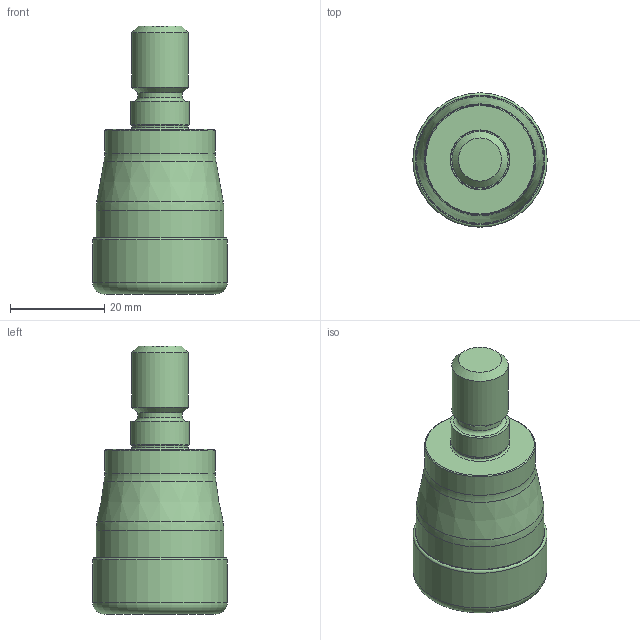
import cadquery as cq
import math


overall_height = 57.0
cutter_height = 12.0
shoulder_z = 35.0
undercut_height = 1.0
pilot_length = 5.0
relief_length = 3.0

cutter_radius = 28.575 / 2
cutter_corner_radius = 2.4
cutter_back_radius = 0.5

head_radius = 13.6
shoulder_radius = 11.75
shoulder_chamfer = 0.2
flare_top_z = 29.1
flare_bottom_z = 18.7
flare_blend_radius = 10.0

undercut_radius = 5.95
undercut_fillet = 0.4
undercut_top_fillet = 0.25
pilot_radius = 6.25
relief_radius = 4.75
relief_fillet = 0.85
relief_cone_height = 1.15
thread_radius = 6.0
thread_chamfer = 1.4

pilot_bottom_z = shoulder_z + undercut_height
pilot_top_z = pilot_bottom_z + pilot_length
thread_bottom_z = pilot_top_z + relief_length

flare_angle = math.atan2(head_radius - shoulder_radius, flare_top_z - flare_bottom_z)
blend_tangent = flare_blend_radius * math.tan(flare_angle / 2)
blend_height = blend_tangent * math.cos(flare_angle)
blend_width = blend_tangent * math.sin(flare_angle)


def revolve_about_z(profile):
    """Turn a closed radius-height profile, drawn on XZ, about the Z axis."""
    return profile.close().revolve(360, (0, 0, 0), (0, 1, 0))


def make_cutter():
    """Plain disc with a rounded cutting corner and a small radius at the back edge."""
    disc = cq.Workplane("XY").circle(cutter_radius).extrude(cutter_height)
    disc = disc.faces("<Z").edges().fillet(cutter_corner_radius)
    return disc.faces(">Z").edges().fillet(cutter_back_radius)


def draw_flared_head():
    """Profile from the axis at the cutter, up the flare and in across the shoulder."""
    return (
        cq.Workplane("XZ")
        .moveTo(0, cutter_height)
        .lineTo(head_radius, cutter_height)
        .lineTo(head_radius, flare_bottom_z - blend_tangent)
        .tangentArcPoint((head_radius - blend_width, flare_bottom_z + blend_height), relative=False)
        .lineTo(shoulder_radius + blend_width, flare_top_z - blend_height)
        .tangentArcPoint((shoulder_radius, flare_top_z + blend_tangent), relative=False)
        .lineTo(shoulder_radius, shoulder_z - shoulder_chamfer)
        .lineTo(shoulder_radius - shoulder_chamfer, shoulder_z)
    )


def add_shank(profile):
    """Continue the profile up the undercut, pilot, thread relief and thread to the axis."""
    return (
        profile
        .lineTo(undercut_radius + undercut_fillet, shoulder_z)
        .radiusArc((undercut_radius, shoulder_z + undercut_fillet), undercut_fillet)
        .lineTo(undercut_radius, pilot_bottom_z - undercut_top_fillet)
        .radiusArc((undercut_radius + undercut_top_fillet, pilot_bottom_z), undercut_top_fillet)
        .lineTo(pilot_radius, pilot_bottom_z)
        .lineTo(pilot_radius, pilot_top_z)
        .lineTo(relief_radius + relief_fillet, pilot_top_z)
        .radiusArc((relief_radius, pilot_top_z + relief_fillet), relief_fillet)
        .lineTo(relief_radius, thread_bottom_z - relief_cone_height)
        .lineTo(thread_radius, thread_bottom_z)
        .lineTo(thread_radius, overall_height - thread_chamfer)
        .lineTo(thread_radius - thread_chamfer, overall_height)
        .lineTo(0, overall_height)
    )


cutter = make_cutter()
head = revolve_about_z(add_shank(draw_flared_head()))

result = cq.Compound.makeCompound([cutter.val(), head.val()])